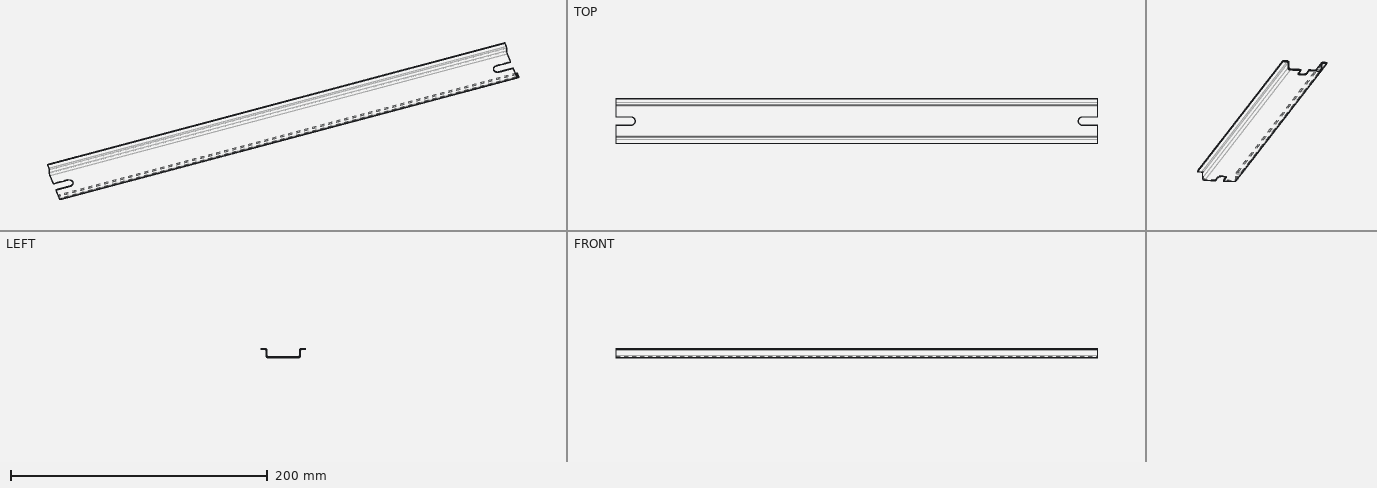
import cadquery as cq

length = 375.0
width = 35.0
height = 7.5
sheet = 1.0
channel_width = 27.0
inner_bend = 0.8
outer_bend = inner_bend + sheet

slot_width = 6.5
slot_depth = 15.0


def hat_profile():
    """Closed outline of the bent sheet, in the YZ plane."""
    wall_outside = channel_width / 2
    wall_inside = wall_outside - sheet
    flange_underside = height - sheet
    outline = [
        (-width / 2, height),
        (-wall_inside, height),
        (-wall_inside, sheet),
        (wall_inside, sheet),
        (wall_inside, height),
        (width / 2, height),
        (width / 2, flange_underside),
        (wall_outside, flange_underside),
        (wall_outside, 0),
        (-wall_outside, 0),
        (-wall_outside, flange_underside),
        (-width / 2, flange_underside),
    ]
    return cq.Workplane("YZ").polyline(outline).close()


def bend_edges(body, y, z, radius):
    """Round the pair of mirrored lengthwise edges at +-y and height z."""
    reach = sheet / 4
    for side in (-1, 1):
        box = cq.selectors.BoxSelector(
            (-reach, side * y - reach, z - reach),
            (reach, side * y + reach, z + reach),
        )
        body = body.edges("|X").edges(box).fillet(radius)
    return body


def make_rail():
    rail = hat_profile().extrude(length / 2, both=True)
    wall_outside = channel_width / 2
    wall_inside = wall_outside - sheet
    rail = bend_edges(rail, wall_inside, height, outer_bend)
    rail = bend_edges(rail, wall_outside, height - sheet, inner_bend)
    rail = bend_edges(rail, wall_outside, 0, outer_bend)
    return bend_edges(rail, wall_inside, sheet, inner_bend)


def end_slot(side):
    """Cutter for the round-ended slot at the -X (side=-1) or +X (side=1) end."""
    radius = slot_width / 2
    round_center = side * (length / 2 - slot_depth + radius)
    straight = slot_depth - radius
    mouth = cq.Workplane("XY").box(straight, slot_width, height, centered=(True, True, False))
    mouth = mouth.translate((round_center + side * straight / 2, 0, 0))
    tip = cq.Workplane("XY").center(round_center, 0).circle(radius).extrude(height)
    return mouth.union(tip)


result = make_rail()
for end in (-1, 1):
    result = result.cut(end_slot(end))